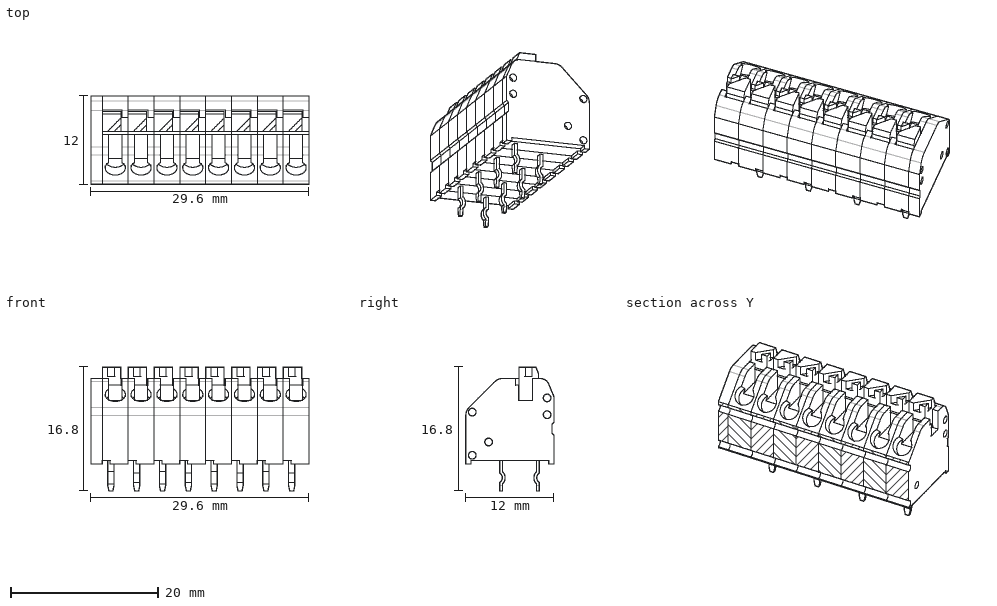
import cadquery as cq
import math


block_length = 29.6
block_depth = 12.0
roof_z = 11.63
pole_count = 8
plate_width = 1.57
pitch = (block_length - plate_width) / pole_count
margin = 0.3

front_edge_z = 7.22
back_slope_base_z = 9.12
back_slope_angle = 22.5
front_edge_radius = 1.5
back_edge_radius = 1.35
foot_height = 0.45
foot_depth = 0.75
back_notch_depth = 0.27
back_notch_low_z = 3.9
back_notch_high_z = 5.65

cross_hole_diameter = 1.0
cross_hole_centres = [(11.05, 8.97), (11.05, 6.7), (0.9, 7.05), (3.1, 3.0), (0.9, 1.18)]

foot_notch_width = 1.07

low_wall_front = 6.78
low_wall_top_z = 10.7
trough_front = 7.13
trough_back = 10.05
trough_floor_z = 8.65
tab_left = 2.65
tab_front = 9.03

wire_x = pitch / 2
wire_diameter = 2.72
wire_z = 9.45
wire_y = wire_z - front_edge_z
wire_depth = 1.48
slot_width = 1.78
slot_floor_z = trough_floor_z

button_width = 2.52
button_front = 7.2
button_back = 9.9
button_top_z = 13.15
button_chamfer_depth = 0.35
button_chamfer_height = 0.9
driver_slot_left = 0.7
driver_slot_right = 1.63
driver_slot_depth = 1.25

pin_left = 0.7
pin_width = 0.9
pin_tip_width = 0.55
pin_thickness = 0.4
pin_bottom_z = -3.67
pin_taper_z = -2.9
pin_back_y = 9.6
pin_front_y = 5.0
bend_z = -1.85
bend_depth = 0.35
bend_outer_half = 0.83
bend_inner_half = 0.62


def box(x0, x1, y0, y1, z0, z1):
    """Rectangular block between two opposite corners."""
    return cq.Workplane("XY").box(x1 - x0, y1 - y0, z1 - z0, centered=False).translate((x0, y0, z0))


def casing(width):
    """Slice of the block with the full side profile, feet and cross holes."""
    roof_front = roof_z - front_edge_z
    roof_back = block_depth - (roof_z - back_slope_base_z) * math.tan(math.radians(back_slope_angle))
    outline = [
        (0, 0),
        (0, front_edge_z),
        (roof_front, roof_z),
        (roof_back, roof_z),
        (block_depth, back_slope_base_z),
        (block_depth, back_notch_high_z),
        (block_depth - back_notch_depth, back_notch_high_z - back_notch_depth),
        (block_depth - back_notch_depth, back_notch_low_z + back_notch_depth),
        (block_depth, back_notch_low_z),
        (block_depth, 0),
        (block_depth - foot_depth, 0),
        (block_depth - foot_depth, foot_height),
        (foot_depth, foot_height),
        (foot_depth, 0),
    ]
    body = cq.Workplane("YZ").polyline(outline).close().extrude(width)
    rounded_corners = [
        (0, front_edge_z, front_edge_radius),
        (roof_front, roof_z, front_edge_radius),
        (roof_back, roof_z, back_edge_radius),
    ]
    for corner_y, corner_z, radius in rounded_corners:
        corner = cq.NearestToPointSelector((width / 2, corner_y, corner_z))
        body = body.edges(corner).fillet(radius)
    holes = cq.Workplane("YZ").pushPoints(cross_hole_centres).circle(cross_hole_diameter / 2).extrude(width)
    return body.cut(holes)


def foot_notch():
    """Cutter that clears both feet at the left of a module."""
    return box(0, foot_notch_width, -margin, block_depth + margin, -margin, foot_height)


def button_trough():
    """Cutter for the open trough and the space above the low wall; the tab at the back right stays."""
    top = roof_z + margin
    trough = box(0, pitch, trough_front, trough_back, trough_floor_z, top)
    above_wall = box(0, pitch, low_wall_front, trough_front, low_wall_top_z, top)
    tab = box(tab_left, pitch, tab_front, trough_back, trough_floor_z, top)
    return trough.cut(tab).union(above_wall)


def wire_entry():
    """Cutter for the round wire pocket and the slot above it."""
    inward = cq.Vector(0, 1, -1).normalized()
    mouth = cq.Vector(wire_x, wire_y, wire_z)
    start = mouth - inward * margin
    pocket = cq.Workplane(cq.Solid.makeCylinder(wire_diameter / 2, wire_depth + margin, start, inward))
    slot_left = wire_x - slot_width / 2
    bottom = mouth + inward * wire_depth
    floor_front_y = bottom.y + slot_floor_z - bottom.z
    slot_outline = [
        (low_wall_front, slot_floor_z),
        (floor_front_y, slot_floor_z),
        (bottom.y, bottom.z),
        (wire_y, wire_z),
        (wire_y, roof_z + margin),
        (low_wall_front, roof_z + margin),
    ]
    slot = cq.Workplane("YZ").workplane(offset=slot_left).polyline(slot_outline).close().extrude(slot_width)
    return pocket.union(slot)


def release_button():
    """Button that stands in the trough, sloped at the top of its back face."""
    outline = [
        (button_front, trough_floor_z - margin),
        (button_front, button_top_z),
        (button_back - button_chamfer_depth, button_top_z),
        (button_back, button_top_z - button_chamfer_height),
        (button_back, trough_floor_z - margin),
    ]
    button = cq.Workplane("YZ").polyline(outline).close().extrude(button_width)
    run = button_width + margin
    slot_outline = [
        (driver_slot_left - margin, button_front - margin),
        (driver_slot_right - margin, button_front - margin),
        (driver_slot_right + run, button_front + run),
        (driver_slot_left + run, button_front + run),
    ]
    floor = cq.Workplane("XY").workplane(offset=button_top_z - driver_slot_depth)
    return button.cut(floor.polyline(slot_outline).close().extrude(driver_slot_depth + margin))


def solder_pin(inner_y, bulge):
    """Strip with a bend towards bulge (+1 or -1 in Y) and a tapered tip."""
    outer_y = inner_y - bulge * pin_thickness
    root_z = foot_height + margin
    strip = (
        cq.Workplane("YZ").workplane(offset=pin_left)
        .moveTo(inner_y, root_z)
        .lineTo(inner_y, bend_z + bend_outer_half)
        .threePointArc((inner_y + bulge * bend_depth, bend_z), (inner_y, bend_z - bend_outer_half))
        .lineTo(inner_y, pin_bottom_z)
        .lineTo(outer_y, pin_bottom_z)
        .lineTo(outer_y, bend_z - bend_inner_half)
        .threePointArc((outer_y + bulge * bend_depth, bend_z), (outer_y, bend_z + bend_inner_half))
        .lineTo(outer_y, root_z)
        .close()
        .extrude(pin_width)
    )
    pin_right = pin_left + pin_width
    tip_inset = (pin_width - pin_tip_width) / 2
    width_outline = [
        (pin_left, root_z),
        (pin_left, pin_taper_z),
        (pin_left + tip_inset, pin_bottom_z),
        (pin_right - tip_inset, pin_bottom_z),
        (pin_right, pin_taper_z),
        (pin_right, root_z),
    ]
    return strip.intersect(cq.Workplane("XZ").polyline(width_outline).close().extrude(-block_depth))


def pole_module(index):
    """One pole: casing with its wire entry, button and pin; the pins alternate back and front."""
    body = casing(pitch).cut(foot_notch()).cut(button_trough()).cut(wire_entry())
    pin = solder_pin(pin_back_y, -1) if index % 2 == 0 else solder_pin(pin_front_y, 1)
    body = body.union(release_button()).union(pin)
    return body.translate((plate_width + index * pitch, 0, 0))


end_plate = casing(plate_width)
pole_modules = [pole_module(index) for index in range(pole_count)]

result = cq.Compound.makeCompound([end_plate.val(), *[module.val() for module in pole_modules]])